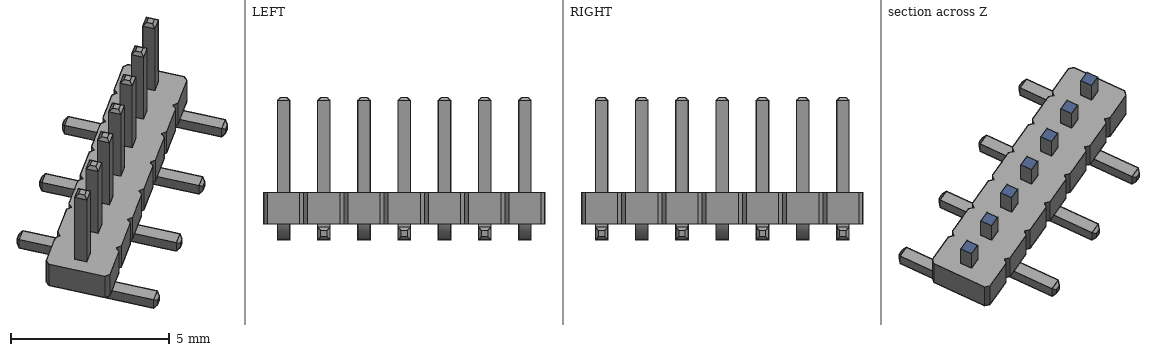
import cadquery as cq

pin_count = 7
pitch = 1.27
overall_width = 5.0
overall_height = 4.5

body_width = 2.1
body_height = 1.0
body_bottom = 0.5
notch_size = pitch / 10

pin_width = 0.4
tip_length = 0.1
tip_width = 0.2
bend_inner_radius = 0.4

half_wire = pin_width / 2
foot_reach = overall_width / 2
bend_radius = bend_inner_radius + half_wire
bend_top = half_wire + bend_radius


def pin_y(index):
    """Y position of a pin, counted from the +Y end."""
    return ((pin_count - 1) / 2 - index) * pitch


def body_segment(y):
    """One pitch of the insulator, with its four vertical edges chamfered."""
    return (
        cq.Workplane("XY", origin=(0, y, body_bottom))
        .rect(body_width, pitch)
        .extrude(body_height)
        .edges("|Z")
        .chamfer(notch_size)
    )


def tip(plane):
    """Square taper at a wire end, starting on the given plane."""
    return (
        cq.Workplane(plane)
        .rect(pin_width, pin_width)
        .workplane(offset=tip_length)
        .rect(tip_width, tip_width)
        .loft(ruled=True)
    )


def pin():
    """Bent square wire centred on Y = 0, with its foot towards +X."""
    wire_path = (
        cq.Workplane("XZ")
        .moveTo(0, overall_height - tip_length)
        .lineTo(0, bend_top)
        .radiusArc((bend_radius, half_wire), -bend_radius)
        .lineTo(foot_reach - tip_length, half_wire)
    )
    wire = (
        cq.Workplane("XY", origin=(0, 0, overall_height - tip_length))
        .rect(pin_width, pin_width)
        .sweep(wire_path)
    )
    top_plane = cq.Plane((0, 0, overall_height - tip_length), xDir=(1, 0, 0), normal=(0, 0, 1))
    foot_plane = cq.Plane((foot_reach - tip_length, 0, half_wire), xDir=(0, 1, 0), normal=(1, 0, 0))
    return wire.union(tip(top_plane)).union(tip(foot_plane))


right_pin = pin()
left_pin = right_pin.rotate((0, 0, 0), (0, 0, 1), 180)

result = body_segment(pin_y(0))
for index in range(1, pin_count):
    result = result.union(body_segment(pin_y(index)))
for index in range(pin_count):
    bent_pin = right_pin if index % 2 == 0 else left_pin
    result = result.union(bent_pin.translate((0, pin_y(index), 0)))